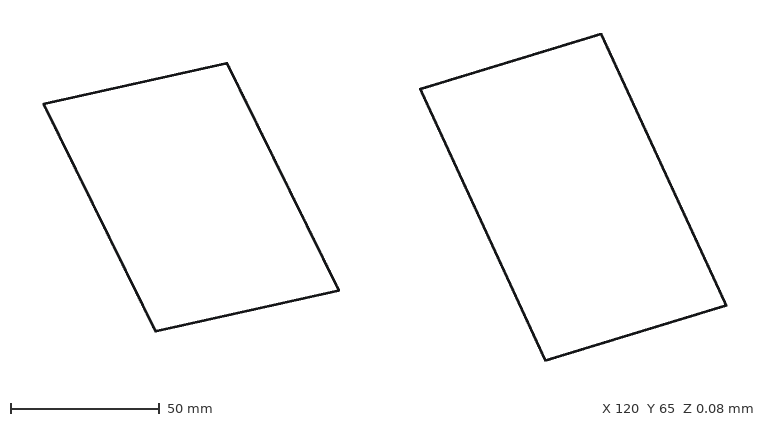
import cadquery as cq

SHEET_LENGTH = 120.0
SHEET_WIDTH = 65.0
SHEET_THICKNESS = 0.08


def make_sheet():
    """Flat sheet centred on the origin."""
    return cq.Workplane("XY").box(SHEET_LENGTH, SHEET_WIDTH, SHEET_THICKNESS)


sheet = make_sheet()

result = cq.Compound.makeCompound([sheet.val()])